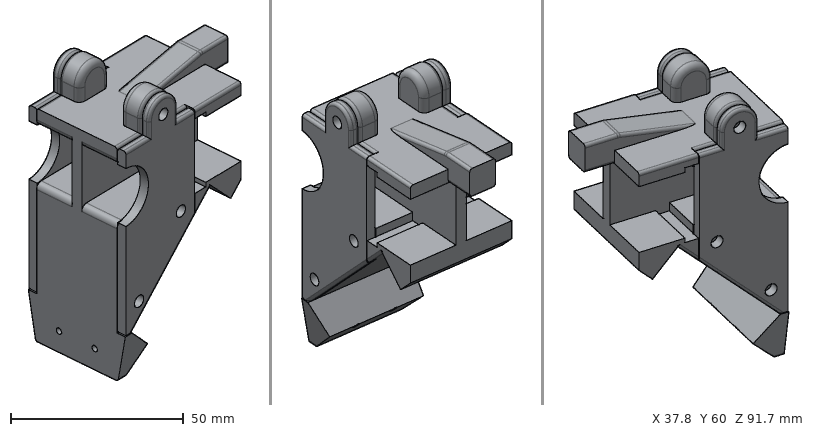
import cadquery as cq

WIDTH = 37.8
HALF_WIDTH = WIDTH / 2
BODY_DEPTH = 50.1
TOTAL_DEPTH = 60.0
HEIGHT = 91.7
DECK_Z = 80.3
EDGE_ROUND = 1.0
TOLERANCE = 0.01

FOOT_DEPTH = 2.9
HOOK_RISE = 8.25
REAR_HOOK_TIP_Y = 45.6
REAR_HOOK_TIP_Z = 42.4
HOOK_TOP_Z = 2 * HOOK_RISE
HOOK_TIP_Y = FOOT_DEPTH + HOOK_RISE
FOOT_INSET = 2.8

RECESS_DEPTH = 3.2
RECESS_END_Y = 30.2
CLEARANCE = 0.3
PLATE_THICKNESS = RECESS_DEPTH
PORT_RADIUS = 10.0
CORE_HALF = HALF_WIDTH - RECESS_DEPTH

EAR_RADIUS = 6.4
EAR_Y = 16.4
EAR_Z = HEIGHT - EAR_RADIUS
EAR_INNER_X = 7.9
EAR_INNER_ROUND = 2.2

WEB_HALF = 1.9
CHANNEL_Z = 64.4
FRONT_CHANNEL_HEIGHT = 2 * PORT_RADIUS
GROOVE_HEIGHT = 25.8
REAR_CHANNEL_HEIGHT = 22.65
GROOVE_END_Y = 34.8
LIP_ROUND = 2.0

LEVER_WIDTH = 9.6
LEVER_HALF = LEVER_WIDTH / 2
LEVER_TOP_Z = 85.3
LEVER_BOTTOM_Z = CHANNEL_Z + REAR_CHANNEL_HEIGHT / 2
LEVER_BEND_Y = 48.6
LEVER_TIP_Y = 22.65
LEVER_BEND_RADIUS = 5.0

FOOT_HOLE_DIAMETER = 2.0
FOOT_HOLE_X = 7.0
FOOT_HOLE_Z = 7.3
PLATE_HOLE_DIAMETER = 3.9
PLATE_HOLES = [(EAR_Y, EAR_Z), (24.0, 48.3), (6.0, 25.95)]


def underside_z(y):
    """Height of the 45 degree underside at depth y."""
    return HOOK_TOP_Z + y - FOOT_DEPTH


def block(x0, x1, y0, y1, z0, z1):
    """Axis-aligned block between two corners."""
    return cq.Workplane("XY").box(x1 - x0, y1 - y0, z1 - z0, centered=False).translate((x0, y0, z0))


def near(value, target):
    return abs(value - target) < TOLERANCE


def round_edges(part, radius, wanted):
    """Fillet every edge whose centre and bounding box satisfy the test."""
    edges = [e for e in part.edges().vals() if wanted(e.Center(), e.BoundingBox())]
    return part.newObject(edges).fillet(radius)


def make_main_body():
    notch_y = (REAR_HOOK_TIP_Y + REAR_HOOK_TIP_Z - underside_z(0)) / 2
    rear_bevel = BODY_DEPTH - REAR_HOOK_TIP_Y
    outline = [
        (0, 0),
        (FOOT_DEPTH, 0),
        (HOOK_TIP_Y, HOOK_RISE),
        (FOOT_DEPTH, HOOK_TOP_Z),
        (notch_y, underside_z(notch_y)),
        (REAR_HOOK_TIP_Y, REAR_HOOK_TIP_Z),
        (BODY_DEPTH, REAR_HOOK_TIP_Z + rear_bevel),
        (BODY_DEPTH, DECK_Z),
        (0, DECK_Z),
    ]
    body = cq.Workplane("YZ").polyline(outline).close().extrude(HALF_WIDTH, both=True)

    def outer_long_edge(centre, box):
        on_side = near(abs(centre.x), HALF_WIDTH) and box.xlen < TOLERANCE
        deck = near(centre.z, DECK_Z)
        underside = near(centre.z, underside_z(centre.y)) and box.ylen > HOOK_TIP_Y
        return on_side and (deck or underside)

    return round_edges(body, EDGE_ROUND, outer_long_edge)


def taper_foot(body):
    """Narrow the lower hook towards the bottom and round its lower corners."""
    for side in (-1, 1):
        wedge = [
            (side * HALF_WIDTH, HOOK_TOP_Z),
            (side * (HALF_WIDTH - FOOT_INSET), 0),
            (side * HALF_WIDTH, 0),
        ]
        body = body.cut(cq.Workplane("XZ").polyline(wedge).close().extrude(-BODY_DEPTH))
    return round_edges(body, EDGE_ROUND, lambda c, box: near(box.zmax, 0) and box.xlen < TOLERANCE)


def make_lever():
    outline = [
        (TOTAL_DEPTH, LEVER_BOTTOM_Z),
        (TOTAL_DEPTH, LEVER_TOP_Z),
        (LEVER_BEND_Y, LEVER_TOP_Z),
        (LEVER_TIP_Y, DECK_Z),
        (LEVER_TIP_Y, LEVER_BOTTOM_Z),
    ]
    lever = cq.Workplane("YZ").polyline(outline).close().extrude(LEVER_HALF, both=True)
    lever = round_edges(
        lever, LEVER_BEND_RADIUS, lambda c, box: near(c.y, LEVER_BEND_Y) and near(c.z, LEVER_TOP_Z)
    )
    return round_edges(lever, EDGE_ROUND, lambda c, box: box.xlen < TOLERANCE and box.ylen > TOLERANCE)


def cut_channels(body):
    """Stepped channels through the body, left and right of the web."""
    steps = [
        (0, RECESS_END_Y, FRONT_CHANNEL_HEIGHT),
        (RECESS_END_Y, GROOVE_END_Y, GROOVE_HEIGHT),
        (GROOVE_END_Y, BODY_DEPTH, REAR_CHANNEL_HEIGHT),
    ]
    for y0, y1, height in steps:
        z0 = CHANNEL_Z - height / 2
        for x0, x1 in ((-HALF_WIDTH, -WEB_HALF), (WEB_HALF, HALF_WIDTH)):
            body = body.cut(block(x0, x1, y0, y1, z0, z0 + height))
    half_height = FRONT_CHANNEL_HEIGHT / 2
    return round_edges(
        body, LIP_ROUND,
        lambda c, box: near(c.y, 0) and near(abs(c.z - CHANNEL_Z), half_height) and box.xlen > LIP_ROUND,
    )


def make_ear():
    """Round-topped pivot ear standing on the deck, on the +X side."""
    ear = (
        cq.Workplane("YZ", origin=(EAR_INNER_X, 0, 0))
        .moveTo(EAR_Y - EAR_RADIUS, LEVER_BOTTOM_Z)
        .lineTo(EAR_Y - EAR_RADIUS, EAR_Z)
        .threePointArc((EAR_Y, HEIGHT), (EAR_Y + EAR_RADIUS, EAR_Z))
        .lineTo(EAR_Y + EAR_RADIUS, LEVER_BOTTOM_Z)
        .close()
        .extrude(CORE_HALF - EAR_INNER_X)
    )
    return round_edges(
        ear, EAR_INNER_ROUND, lambda c, box: near(box.xmax, EAR_INNER_X) and box.zmax > DECK_Z
    )


def make_housing():
    housing = taper_foot(make_main_body()).union(make_lever())
    for x0 in (-HALF_WIDTH, CORE_HALF):
        housing = housing.cut(block(x0, x0 + RECESS_DEPTH, 0, RECESS_END_Y, HOOK_TOP_Z, HEIGHT))
    housing = cut_channels(housing)
    ear = make_ear()
    housing = housing.union(ear).union(ear.mirror("YZ"))

    def core_top_edge(centre, box):
        return near(abs(centre.x), CORE_HALF) and box.xlen < TOLERANCE and box.zmin > DECK_Z - TOLERANCE

    housing = round_edges(housing, EDGE_ROUND, core_top_edge)
    foot_holes = (
        cq.Workplane("XZ")
        .pushPoints([(-FOOT_HOLE_X, FOOT_HOLE_Z), (FOOT_HOLE_X, FOOT_HOLE_Z)])
        .circle(FOOT_HOLE_DIAMETER / 2)
        .extrude(-BODY_DEPTH)
    )
    return housing.cut(foot_holes)


def make_side_plate():
    """Cover plate for the recess on the -X side, smaller than the recess by the clearance."""
    top = DECK_Z - CLEARANCE
    rear = RECESS_END_Y - CLEARANCE
    bottom = HOOK_TOP_Z + CLEARANCE
    radius = EAR_RADIUS - CLEARANCE
    plate = (
        cq.Workplane("YZ", origin=(-HALF_WIDTH, 0, 0))
        .moveTo(CLEARANCE, bottom)
        .lineTo(CLEARANCE, top)
        .lineTo(EAR_Y - radius, top)
        .lineTo(EAR_Y - radius, EAR_Z)
        .threePointArc((EAR_Y, EAR_Z + radius), (EAR_Y + radius, EAR_Z))
        .lineTo(EAR_Y + radius, top)
        .lineTo(rear, top)
        .lineTo(rear, underside_z(rear))
        .lineTo(FOOT_DEPTH + CLEARANCE, bottom)
        .close()
        .extrude(PLATE_THICKNESS)
    )

    def top_or_underside(centre, box):
        top_edge = box.zmin > top - TOLERANCE
        underside = near(centre.z, underside_z(centre.y)) and box.ylen > FOOT_DEPTH
        return box.xlen < TOLERANCE and (top_edge or underside)

    plate = round_edges(plate, EDGE_ROUND, top_or_underside)
    holes = (
        cq.Workplane("YZ", origin=(-HALF_WIDTH, 0, 0))
        .pushPoints(PLATE_HOLES)
        .circle(PLATE_HOLE_DIAMETER / 2)
        .extrude(PLATE_THICKNESS)
    )
    port = (
        cq.Workplane("YZ", origin=(-HALF_WIDTH, 0, 0))
        .center(0, CHANNEL_Z)
        .circle(PORT_RADIUS)
        .extrude(PLATE_THICKNESS)
    )
    return plate.cut(holes).cut(port)


housing = make_housing()
left_plate = make_side_plate()
side_plates = [left_plate, left_plate.mirror("YZ")]

result = cq.Compound.makeCompound([housing.val(), *[plate.val() for plate in side_plates]])